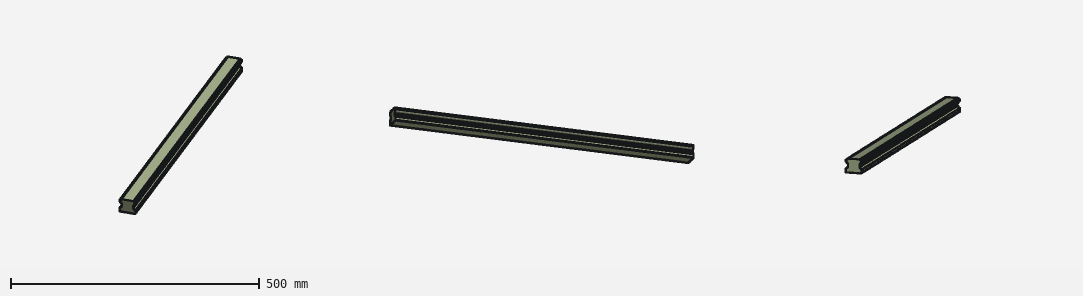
import cadquery as cq

LENGTH = 640.0
WIDTH = 34.0
HEIGHT = 29.0

BASE_CHAMFER = 1.2
FOOT_SIDE_TOP = 6.5
FOOT_TAPER_INSET = 0.1
FOOT_TAPER_RISE = 1.0

WAIST_DEPTH = 4.9
WAIST_HEIGHT = 4.6

GROOVE_DROP = 3.15
GROOVE_INSET = 3.25
GROOVE_SAG = 0.8
TOP_CHAMFER = 0.6
HEAD_SIDE_HEIGHT = 2.1
UNDERSIDE_INSET = 3.45
UNDERSIDE_DROP = 4.0

side_x = WIDTH / 2
waist_x = side_x - WAIST_DEPTH
foot_taper_x = side_x - FOOT_TAPER_INSET
underside_x = side_x - UNDERSIDE_INSET
groove_x = side_x - GROOVE_INSET
top_x = groove_x - TOP_CHAMFER

foot_top_z = FOOT_SIDE_TOP + FOOT_TAPER_RISE
waist_low_z = foot_top_z + (foot_taper_x - waist_x)
waist_high_z = waist_low_z + WAIST_HEIGHT
head_side_top_z = HEIGHT - GROOVE_DROP
head_side_low_z = head_side_top_z - HEAD_SIDE_HEIGHT
underside_z = head_side_low_z - UNDERSIDE_DROP
groove_top_z = HEIGHT - TOP_CHAMFER

half_section = (
    cq.Workplane("XZ")
    .moveTo(0, 0)
    .lineTo(side_x - BASE_CHAMFER, 0)
    .lineTo(side_x, BASE_CHAMFER)
    .lineTo(side_x, FOOT_SIDE_TOP)
    .lineTo(foot_taper_x, foot_top_z)
    .lineTo(waist_x, waist_low_z)
    .lineTo(waist_x, waist_high_z)
    .lineTo(underside_x, underside_z)
    .lineTo(side_x, head_side_low_z)
    .lineTo(side_x, head_side_top_z)
    .sagittaArc((groove_x, groove_top_z), GROOVE_SAG)
    .lineTo(top_x, HEIGHT)
    .lineTo(0, HEIGHT)
    .close()
)

half_rail = half_section.extrude(LENGTH / 2, both=True)
result = half_rail.union(half_rail.mirror("YZ")).clean()